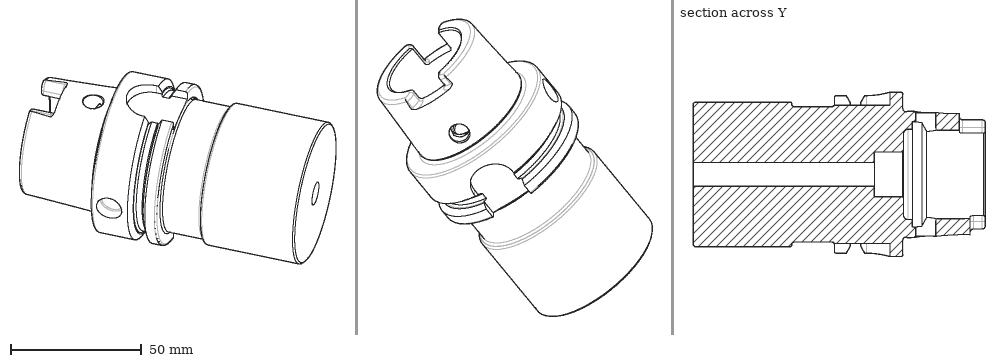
import cadquery as cq
import math


total_length = 111.9
shank_end = 29.8
relief_start = 30.3
flange_start = 31.5
groove_start = 47.8
groove_end = 51.7
flange_end = 57.9
body_start = 74.1

shank_tip_radius = 22.8
taper_slope = 0.05
relief_radius = 24.1
flange_diameter = 63.0
flange_radius = flange_diameter / 2
groove_wall_radius = 28.9
groove_radius = 27.5
neck_radius = 26.0
body_radius = 27.8
groove_flank_angle = 60

tip_round = 1.2
relief_round = 1.1
flange_round = 0.8
groove_round = 0.8
neck_round = 0.8
neck_end_round = 0.9
body_round = 0.8
body_end_chamfer = 0.7

bore_radius = 16.9
bore_mouth_chamfer = 0.7
undercut_start = 22.5
undercut_end = 28.0
undercut_radius = 20.1
undercut_flank_angle = 60
inner_bore_radius = 17.2
bore_floor = 31.3
bore_floor_round = 1.7
pocket_radius = 8.5
pocket_depth = 11.2
pocket_chamfer = 0.5
axial_hole_radius = 4.5

top_notch_depth = 10.0
bottom_notch_depth = 5.8
notch_half_width = 6.0
notch_flare_radius = 2.9
notch_flat_height = 20.9
notch_round = 1.2
notch_mouth_clearance = 2.2

keyway_half_width = 9.0
keyway_start = 36.6
keyway_floor_height = 26.5

cross_hole_x = 22.8
cross_hole_radius = 3.8
cross_hole_chamfer = 0.5
flange_hole_x = 38.9
flange_hole_radius = 5.0
flange_hole_floor = 26.5
flange_hole_floor_round = 0.5

pick_gap = 0.06


def revolve_about_axis(outline):
    return outline.close().revolve(360, (0, 0, 0), (1, 0, 0))


def half_turn(shape):
    return shape.rotate((0, 0, 0), (1, 0, 0), 180)


def turned_circle(x, radius):
    """Selector for the circular edge of the given radius at station x."""
    outer = radius + pick_gap
    inner = radius - pick_gap
    low_x = x - pick_gap
    high_x = x + pick_gap
    up_to_radius = cq.selectors.BoxSelector((low_x, -outer, -outer), (high_x, outer, outer), boundingbox=True)
    smaller = cq.selectors.BoxSelector((low_x, -inner, -inner), (high_x, inner, inner), boundingbox=True)
    return up_to_radius - smaller


def turned_body():
    flank = (flange_radius - groove_wall_radius) / math.tan(math.radians(groove_flank_angle))
    shank_end_radius = shank_tip_radius + taper_slope * shank_end
    outline = (
        cq.Workplane("XY")
        .lineTo(0, shank_tip_radius)
        .lineTo(shank_end, shank_end_radius)
        .lineTo(relief_start, relief_radius)
        .lineTo(flange_start, relief_radius)
        .lineTo(flange_start, flange_radius)
        .lineTo(groove_start - flank, flange_radius)
        .lineTo(groove_start, groove_wall_radius)
        .lineTo(groove_start, groove_radius)
        .lineTo(groove_end, groove_radius)
        .lineTo(groove_end, groove_wall_radius)
        .lineTo(groove_end + flank, flange_radius)
        .lineTo(flange_end, flange_radius)
        .lineTo(flange_end, neck_radius)
        .lineTo(body_start, neck_radius)
        .lineTo(body_start, body_radius)
        .lineTo(total_length, body_radius)
        .lineTo(total_length, 0)
    )
    body = revolve_about_axis(outline)
    rounded_edges = (
        (0, shank_tip_radius, tip_round),
        (flange_start, relief_radius, relief_round),
        (flange_start, flange_radius, flange_round),
        (groove_start, groove_radius, groove_round),
        (groove_end, groove_radius, groove_round),
        (flange_end, flange_radius, flange_round),
        (flange_end, neck_radius, neck_round),
        (body_start, neck_radius, neck_end_round),
        (body_start, body_radius, body_round),
    )
    for x, radius, size in rounded_edges:
        body = body.edges(turned_circle(x, radius)).fillet(size)
    return body.edges(turned_circle(total_length, body_radius)).chamfer(body_end_chamfer)


def bore():
    flank_height = undercut_radius - bore_radius
    undercut_full = undercut_start + flank_height / math.tan(math.radians(undercut_flank_angle))
    pocket_end = bore_floor + pocket_depth
    outline = (
        cq.Workplane("XY")
        .lineTo(0, bore_radius + bore_mouth_chamfer)
        .lineTo(bore_mouth_chamfer, bore_radius)
        .lineTo(undercut_start, bore_radius)
        .lineTo(undercut_full, undercut_radius)
        .lineTo(undercut_end, undercut_radius)
        .lineTo(undercut_end, inner_bore_radius)
        .lineTo(bore_floor, inner_bore_radius)
        .lineTo(bore_floor, pocket_radius + pocket_chamfer)
        .lineTo(bore_floor + pocket_chamfer, pocket_radius)
        .lineTo(pocket_end, pocket_radius)
        .lineTo(pocket_end, axial_hole_radius)
        .lineTo(total_length, axial_hole_radius)
        .lineTo(total_length, 0)
    )
    cavity = revolve_about_axis(outline)
    return cavity.edges(turned_circle(bore_floor, inner_bore_radius)).fillet(bore_floor_round)


def notch_edges(x):
    """Selector for the wall, flare and flat edges of a notch cutter at station x."""
    return cq.selectors.BoxSelector(
        (x - pick_gap, -flange_radius - pick_gap, -pick_gap),
        (x + pick_gap, flange_radius + pick_gap, notch_flat_height + pick_gap),
        boundingbox=True,
    )


def notch(depth):
    """Channel along X on the +Z side, its walls flaring outwards into flats."""
    flare_start = notch_flat_height - notch_flare_radius
    flare_end = notch_half_width + notch_flare_radius
    arc_inset = notch_flare_radius * (1 - math.sqrt(0.5))
    arc_y = notch_half_width + arc_inset
    arc_z = notch_flat_height - arc_inset
    profile = (
        cq.Workplane("YZ")
        .moveTo(-notch_half_width, 0)
        .lineTo(notch_half_width, 0)
        .lineTo(notch_half_width, flare_start)
        .threePointArc((arc_y, arc_z), (flare_end, notch_flat_height))
        .lineTo(flange_radius, notch_flat_height)
        .lineTo(flange_radius, flange_radius)
        .lineTo(-flange_radius, flange_radius)
        .lineTo(-flange_radius, notch_flat_height)
        .lineTo(-flare_end, notch_flat_height)
        .threePointArc((-arc_y, arc_z), (-notch_half_width, flare_start))
        .close()
    )
    channel = profile.extrude(depth).edges(notch_edges(depth)).fillet(notch_round)
    clearance = (
        cq.Workplane("YZ", origin=(-notch_mouth_clearance, 0, 0))
        .rect(2 * flange_radius, 2 * flange_radius)
        .extrude(notch_mouth_clearance)
    )
    return channel.union(clearance).edges(notch_edges(0)).fillet(notch_round)


def keyway():
    """Round-ended slot in the +Z side of the flange, open towards +X."""
    centre_x = keyway_start + keyway_half_width
    return (
        cq.Workplane("XY", origin=(0, 0, keyway_floor_height))
        .moveTo(flange_end, -keyway_half_width)
        .lineTo(flange_end, keyway_half_width)
        .lineTo(centre_x, keyway_half_width)
        .threePointArc((keyway_start, 0), (centre_x, -keyway_half_width))
        .close()
        .extrude(flange_radius)
    )


def cross_hole():
    """Radial hole through both shank walls, chamfered where it meets the taper."""
    mouth_height = shank_tip_radius + taper_slope * cross_hole_x
    countersink_rim = cross_hole_radius + cross_hole_chamfer
    half_outline = (
        cq.Workplane("XZ", origin=(cross_hole_x, 0, 0))
        .lineTo(cross_hole_radius, 0)
        .lineTo(cross_hole_radius, mouth_height - cross_hole_chamfer)
        .lineTo(countersink_rim, mouth_height)
        .lineTo(countersink_rim, flange_radius)
        .lineTo(0, flange_radius)
        .close()
    )
    upper = half_outline.revolve(360, (0, 0, 0), (0, 1, 0))
    return upper.union(half_turn(upper))


def flange_hole():
    """Blind flat-bottomed hole in the -Y side of the flange."""
    return (
        cq.Workplane("XZ", origin=(flange_hole_x, -flange_hole_floor, 0))
        .circle(flange_hole_radius)
        .extrude(flange_radius - flange_hole_floor)
        .faces(">Y")
        .edges()
        .fillet(flange_hole_floor_round)
    )


result = turned_body().cut(bore())
cutters = (
    notch(top_notch_depth),
    half_turn(notch(bottom_notch_depth)),
    keyway(),
    half_turn(keyway()),
    cross_hole(),
    flange_hole(),
)
for cutter in cutters:
    result = result.cut(cutter)